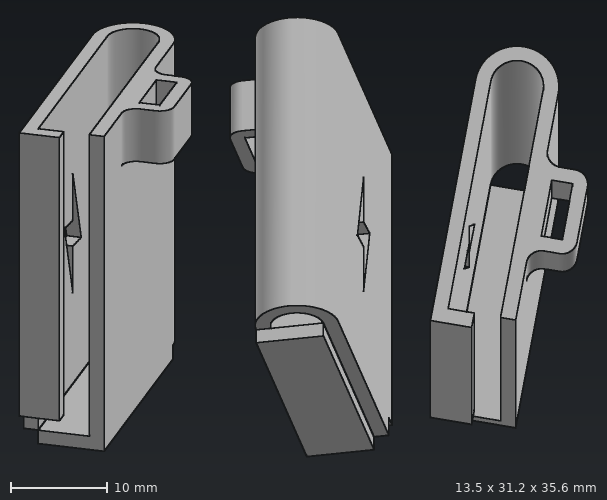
import cadquery as cq

height = 35.6
length = 31.2
body_width = 8.72
total_width = 13.5

wall = 1.6
floor_thickness = 1.53
floor_overlap = 0.05
outer_radius = body_width / 2
inner_radius = outer_radius - wall
round_center_y = length - outer_radius

lip_width = outer_radius
lip_bottom = 3.6

loop_height = 5.95
loop_length = 9.33
loop_radius = 1.55
slot_width = 2.2
slot_length = 6.2
loop_wall = (loop_length - slot_length) / 2
loop_center_y = (wall + round_center_y) / 2

bolt_center_z = (floor_thickness + height) / 2
bolt_half_height = 6.73
bolt_waist = 1.45
bolt_wing_reach = 3.05
bolt_wing_rise = 1.75


def block(x0, x1, y0, y1, z0, z1):
    """Axis-aligned box between the given limits."""
    return cq.Workplane("XY").box(x1 - x0, y1 - y0, z1 - z0, centered=False).translate((x0, y0, z0))


def rounded_prism(radius, start_y):
    """Slab centred on the sleeve, with a half-round +Y end, above the floor level."""
    return (
        cq.Workplane("XY", origin=(outer_radius, 0, floor_thickness))
        .moveTo(-radius, start_y)
        .lineTo(-radius, round_center_y)
        .threePointArc((0, round_center_y + radius), (radius, round_center_y))
        .lineTo(radius, start_y)
        .close()
        .extrude(height - floor_thickness)
    )


def make_sleeve():
    """U-shaped wall with a half-width lip at its open end."""
    sleeve = rounded_prism(outer_radius, 0).cut(rounded_prism(inner_radius, wall))
    sleeve = sleeve.cut(block(lip_width, body_width, 0, wall, 0, height))
    return sleeve.cut(block(0, lip_width, 0, wall, 0, lip_bottom))


def make_floor():
    """Plate under the straight part; the rounded end stays open below."""
    return block(wall - floor_overlap, body_width, wall, round_center_y, 0, floor_thickness)


def make_loop():
    """Strap loop with rounded outer corners and concave fillets at its root."""
    low_y = loop_center_y - loop_length / 2
    high_y = loop_center_y + loop_length / 2
    root_x = body_width + loop_radius
    low_z = height - loop_height
    loop = block(body_width - wall, total_width, low_y, high_y, low_z, height)
    loop = loop.edges("|Z and >X").fillet(loop_radius)
    for edge_y, side in ((low_y, -1), (high_y, 1)):
        center_y = edge_y + side * loop_radius
        web = block(body_width - wall, root_x, min(edge_y, center_y), max(edge_y, center_y), low_z, height)
        scoop = (
            cq.Workplane("XY", origin=(root_x, center_y, low_z))
            .circle(loop_radius)
            .extrude(loop_height)
        )
        loop = loop.union(web.cut(scoop))
    slot_end_x = total_width - loop_wall
    return loop.cut(
        block(
            slot_end_x - slot_width,
            slot_end_x,
            loop_center_y - slot_length / 2,
            loop_center_y + slot_length / 2,
            low_z,
            height,
        )
    )


def make_bolt():
    """Cutter for the bolt-shaped window."""
    half = [
        (0, bolt_half_height),
        (0, bolt_waist),
        (-bolt_wing_reach, bolt_wing_rise),
    ]
    outline = half + [(-y, -z) for y, z in half]
    return (
        cq.Workplane("YZ", origin=(0, loop_center_y, bolt_center_z))
        .polyline(outline)
        .close()
        .extrude(wall)
    )


result = make_sleeve().union(make_floor()).union(make_loop()).cut(make_bolt())